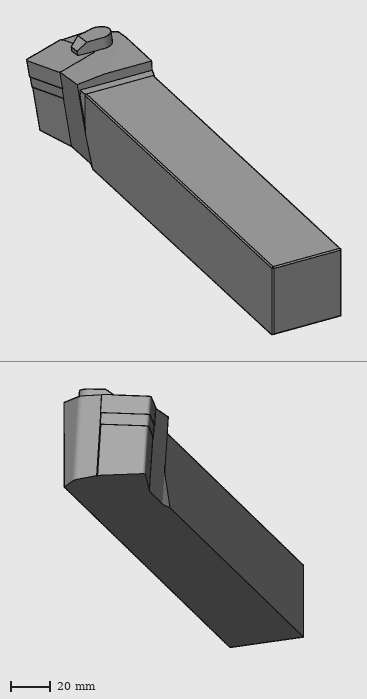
import cadquery as cq

overall_length = 249.6
shank_size = 40.0
shank_start = 51.5
shank_chamfer = 0.7
collar_flare = 2.0

head_height = 47.0
tilt_slope = 0.11
head_depth = 55.0
head_back_corner = 13.5
head_front_y = -43.2
head_rear_x = 49.0
left_wall_top_y = -13.0
left_wall_x = 1.7
left_wall_end = (0.5, -25.5)
left_edge_radius = 5.5
relief_run = 4.2
relief_depth = 1.37
relief_length_factor = 4

insert_side = 25.5
insert_radius = 1.5
insert_angle = 15.0
insert_thickness = 9.5
shim_thickness = 6.0
seat_step = 0.2
insert_center = (15.2, -34.5)
insert_top_z = 42.5

clamp_height = 6.2
clamp_center_x = 18.2
clamp_radius = 6.5
clamp_round_y = -13.0
clamp_shoulder_y = -22.2
clamp_shoulder_width = 9.5
clamp_tip_y = -27.7
clamp_tip_width = 6.5
clamp_tip_height = 2.5

tilted_plane = cq.Plane(
    origin=(*insert_center, insert_top_z),
    xDir=(1, 0, tilt_slope),
    normal=(-tilt_slope, -tilt_slope, 1),
)


def in_frame(x, y):
    """Place a plan position in the tipped frame, whose origin is the insert centre."""
    return (x - insert_center[0], y - insert_center[1])


def tilted_outline(points):
    """Closed polygon on the tipped top plane, from plan positions."""
    return cq.Workplane(tilted_plane).polyline([in_frame(*point) for point in points]).close()


def square_layer(inset, top_depth, thickness):
    """Rounded square block aligned with the insert, starting below the tipped top plane."""
    side = insert_side - 2 * inset
    outline = cq.Sketch().rect(side, side).vertices().fillet(insert_radius)
    return (
        cq.Workplane(tilted_plane)
        .workplane(offset=-top_depth)
        .transformed(rotate=(0, 0, insert_angle))
        .placeSketch(outline)
        .extrude(-thickness)
    )


def make_shank():
    shank = (
        cq.Workplane("XY")
        .box(overall_length - shank_start, shank_size, shank_size, centered=False)
        .translate((shank_start, -shank_size, 0))
    )
    return shank.edges(">X or (|X and >Z)").chamfer(shank_chamfer)


def make_collar():
    """Flare that joins the shank to the larger head."""
    wide = shank_size + 2 * collar_flare
    return (
        cq.Workplane("YZ", origin=(shank_start, -shank_size / 2, shank_size / 2))
        .rect(shank_size, shank_size)
        .workplane(offset=-collar_flare)
        .rect(wide, wide)
        .loft(ruled=True)
    )


def make_head():
    slope_run = head_back_corner - left_wall_x
    far_back = (head_back_corner + slope_run, -left_wall_top_y)
    outline = [
        far_back,
        (head_rear_x, far_back[1]),
        (head_rear_x, head_front_y),
        (insert_center[0] + insert_side / 2, head_front_y),
        insert_center,
        left_wall_end,
        (left_wall_x, left_wall_top_y),
    ]
    wall_edge = cq.Vector(*in_frame(left_wall_x, left_wall_top_y), -head_depth / 2)
    edge_point = tilted_plane.toWorldCoords(wall_edge.toTuple())
    head = tilted_outline(outline).extrude(-head_depth)
    return head.edges(cq.selectors.NearestToPointSelector(edge_point.toTuple())).fillet(left_edge_radius)


def make_seat():
    """Shim and seat column, each stepped in slightly from the layer above."""
    shim = square_layer(seat_step, insert_thickness, shim_thickness)
    column_top = insert_thickness + shim_thickness
    column = square_layer(2 * seat_step, column_top, head_depth - column_top)
    return shim.union(column)


def make_front_relief():
    """Space in front of the head, which runs out through the lower front edge of the shank."""
    run_out_x = head_rear_x + relief_length_factor * relief_run
    run_out_y = head_front_y - relief_length_factor * relief_depth
    outline = [
        (insert_center[0] + insert_side, head_front_y),
        (head_rear_x, head_front_y),
        (run_out_x, run_out_y),
        (insert_center[0] + insert_side, run_out_y),
    ]
    return tilted_outline(outline).extrude(-head_depth)


def make_clamp():
    """Rounded finger whose nose slopes down onto the insert."""
    half_shoulder = clamp_shoulder_width / 2
    half_tip = clamp_tip_width / 2
    blank = (
        cq.Workplane(tilted_plane)
        .moveTo(*in_frame(clamp_center_x - clamp_radius, clamp_round_y))
        .threePointArc(
            in_frame(clamp_center_x, clamp_round_y + clamp_radius),
            in_frame(clamp_center_x + clamp_radius, clamp_round_y),
        )
        .lineTo(*in_frame(clamp_center_x + half_shoulder, clamp_shoulder_y))
        .lineTo(*in_frame(clamp_center_x + half_tip, clamp_tip_y))
        .lineTo(*in_frame(clamp_center_x - half_tip, clamp_tip_y))
        .lineTo(*in_frame(clamp_center_x - half_shoulder, clamp_shoulder_y))
        .close()
        .extrude(clamp_height)
    )
    shoulder_y = in_frame(clamp_center_x, clamp_shoulder_y)[1]
    tip_y = in_frame(clamp_center_x, clamp_tip_y)[1]
    side_plane = cq.Plane(
        origin=tilted_plane.origin, xDir=tilted_plane.yDir, normal=tilted_plane.xDir
    )
    nose_slope = (
        cq.Workplane(side_plane)
        .polyline([(shoulder_y, clamp_height), (tip_y, clamp_tip_height), (tip_y, clamp_height)])
        .close()
        .extrude(insert_side, both=True)
    )
    return blank.cut(nose_slope)


def make_insert():
    return square_layer(0, 0, insert_thickness)


def make_holder(insert):
    head = make_head().union(make_seat()).union(make_collar()).union(make_shank())
    envelope = (
        cq.Workplane("XY")
        .box(overall_length, overall_length, head_height, centered=False)
        .translate((0, -overall_length, 0))
    )
    body = head.cut(make_front_relief()).intersect(envelope)
    return body.union(make_clamp()).cut(insert)


insert = make_insert()
holder = make_holder(insert)
result = cq.Compound.makeCompound([holder.val(), insert.val()])